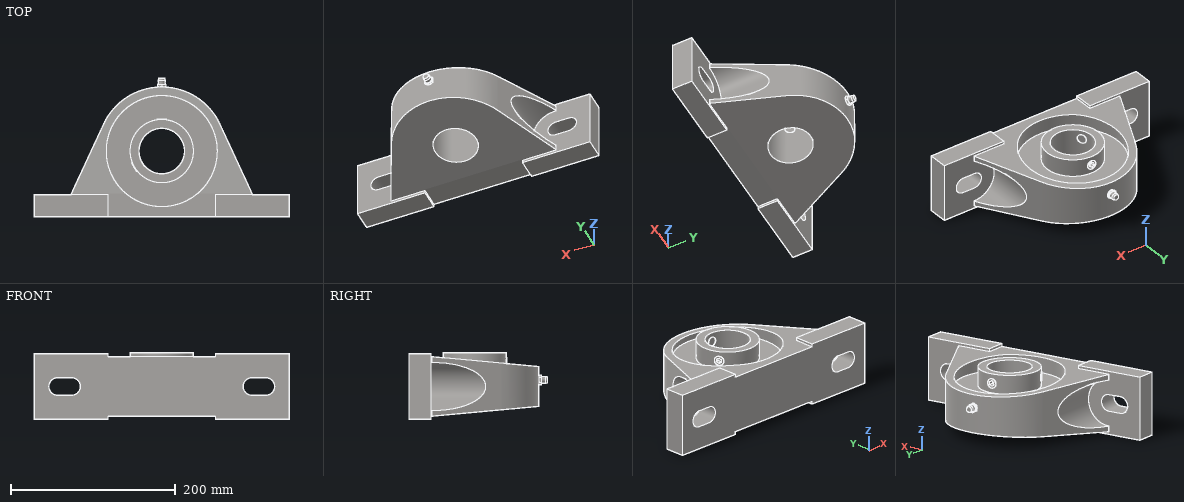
import math

import cadquery as cq


foot_length = 310.0
foot_width = 80.0
foot_thickness = 27.0
shaft_height = 80.0
waist_length = 130.0
waist_width = 72.6
slot_length = 38.0
slot_width = 21.0
slot_offset = 118.0

housing_radius = 78.0
housing_crown_width = 48.6
housing_base_half_length = 110.0
neck_height = 1.0
bolt_relief_radius = 29.2
bolt_relief_offset = 109.0

recess_diameter = 135.0
recess_floor_z = 17.0
collar_diameter = 77.0
collar_top_z = 41.0
bore_diameter = 55.0

screw_diameter = 12.0
screw_socket_across_flats = 6.0
screw_socket_depth = 6.0
screw_protrusion = 0.5
screw_end_setback = 0.2
screw_z = 29.0
screw_angles = (90.0, 210.0)

nipple_z = 8.0
nipple_embed = 3.0
nipple_hex_diameter = 12.0
nipple_hex_height = 3.0
nipple_hex_chamfer_angle = 30.0
nipple_stem_height = 2.8
nipple_neck_height = 1.9
nipple_head_height = 2.8
nipple_shoulder_radius = 4.4
nipple_neck_radius = 4.2
nipple_tip_diameter = 7.38

foot_bottom_y = -shaft_height
foot_top_y = foot_bottom_y + foot_thickness
neck_top_y = foot_top_y + neck_height

flats_per_corners = math.cos(math.pi / 6)


def along_y(y, x=0.0, z=0.0):
    """Workplane at height y whose normal points to +Y, with local x along X."""
    return cq.Workplane(cq.Plane(origin=(x, y, z), xDir=(1, 0, 0), normal=(0, 1, 0)))


def make_hexagon(y, z, corner_diameter, height):
    """Hexagonal prism standing along +Y with two corners on the Z direction."""
    return (
        along_y(y, z=z)
        .transformed(rotate=(0, 0, 90))
        .polygon(6, corner_diameter)
        .extrude(height)
    )


def make_foot():
    end_length = (foot_length - waist_length) / 2
    foot = along_y(foot_bottom_y).rect(waist_length, waist_width).extrude(foot_thickness)
    for side in (-1, 1):
        end_x = side * (foot_length - end_length) / 2
        end = along_y(foot_bottom_y, x=end_x).rect(end_length, foot_width).extrude(foot_thickness)
        slot = along_y(foot_bottom_y, x=side * slot_offset).slot2D(slot_length, slot_width)
        foot = foot.union(end).cut(slot.extrude(foot_thickness))
    return foot


def make_housing():
    """Arch with tangent flanks, narrowing from the foot towards the crown."""
    corner_distance = math.hypot(housing_base_half_length, neck_top_y)
    corner_angle = math.atan2(neck_top_y, housing_base_half_length)
    tangent_angle = corner_angle + math.acos(housing_radius / corner_distance)
    tangent_x = housing_radius * math.cos(tangent_angle)
    tangent_y = housing_radius * math.sin(tangent_angle)
    arch = (
        cq.Workplane("XY")
        .moveTo(-housing_base_half_length, foot_top_y)
        .lineTo(housing_base_half_length, foot_top_y)
        .lineTo(housing_base_half_length, neck_top_y)
        .lineTo(tangent_x, tangent_y)
        .threePointArc((0, housing_radius), (-tangent_x, tangent_y))
        .lineTo(-housing_base_half_length, neck_top_y)
        .close()
        .extrude(waist_width / 2, both=True)
    )
    base_z = waist_width / 2
    crown_z = housing_crown_width / 2
    taper = (
        cq.Workplane("YZ")
        .polyline([
            (foot_top_y, -base_z),
            (neck_top_y, -base_z),
            (housing_radius, -crown_z),
            (housing_radius, crown_z),
            (neck_top_y, base_z),
            (foot_top_y, base_z),
        ])
        .close()
        .extrude(housing_base_half_length, both=True)
    )
    housing = arch.intersect(taper)
    for side in (-1, 1):
        relief = along_y(foot_top_y, x=side * bolt_relief_offset).circle(bolt_relief_radius)
        housing = housing.cut(relief.extrude(housing_radius - foot_top_y))
    return housing


def make_recess():
    depth = waist_width / 2 - recess_floor_z
    return (
        cq.Workplane("XY", origin=(0, 0, recess_floor_z))
        .circle(recess_diameter / 2)
        .extrude(depth)
    )


def make_collar():
    return cq.Workplane("XY").circle(collar_diameter / 2).extrude(collar_top_z)


def make_bore():
    bottom_z = -waist_width / 2
    return (
        cq.Workplane("XY", origin=(0, 0, bottom_z))
        .circle(bore_diameter / 2)
        .extrude(collar_top_z - bottom_z)
    )


def make_set_screw(angle):
    """Screw in its hole, standing proud of the collar and ending just short of the bore."""
    inner = bore_diameter / 2 + screw_end_setback
    outer = collar_diameter / 2 + screw_protrusion
    screw = along_y(inner, z=screw_z).circle(screw_diameter / 2).extrude(outer - inner)
    socket = make_hexagon(
        outer - screw_socket_depth, screw_z, screw_socket_across_flats / flats_per_corners, screw_socket_depth
    )
    screw = screw.cut(socket)
    return screw.rotate((0, 0, 0), (0, 0, 1), angle - 90)


def make_screw_hole(angle):
    hole = along_y(0, z=screw_z).circle(screw_diameter / 2).extrude(collar_diameter / 2)
    return hole.rotate((0, 0, 0), (0, 0, 1), angle - 90)


def revolve_nipple(profile):
    """Solid of revolution about the nipple axis from (radius, y) points."""
    return (
        cq.Workplane("XY", origin=(0, 0, nipple_z))
        .polyline(profile)
        .close()
        .revolve(360, (0, 0, 0), (0, 1, 0))
    )


def make_nipple():
    """Hexagon chamfered underneath, carrying a turned stem, neck and head."""
    root_y = housing_radius - nipple_embed
    hex_top_y = housing_radius + nipple_hex_height
    stem_top_y = hex_top_y + nipple_stem_height
    nipple_neck_top_y = stem_top_y + nipple_neck_height
    tip_y = nipple_neck_top_y + nipple_head_height
    corner_radius = nipple_hex_diameter / 2
    flat_radius = corner_radius * flats_per_corners
    chamfer_height = (corner_radius - flat_radius) * math.tan(math.radians(nipple_hex_chamfer_angle))
    hexagon = make_hexagon(housing_radius, nipple_z, nipple_hex_diameter, nipple_hex_height)
    chamfer_envelope = revolve_nipple([
        (0, housing_radius),
        (flat_radius, housing_radius),
        (corner_radius, housing_radius + chamfer_height),
        (corner_radius, hex_top_y),
        (0, hex_top_y),
    ])
    turned = revolve_nipple([
        (0, root_y),
        (nipple_shoulder_radius, root_y),
        (nipple_shoulder_radius, hex_top_y),
        (nipple_neck_radius, stem_top_y),
        (nipple_shoulder_radius, nipple_neck_top_y),
        (nipple_tip_diameter / 2, tip_y),
        (0, tip_y),
    ])
    return hexagon.intersect(chamfer_envelope).union(turned)


result = make_foot().union(make_housing()).cut(make_recess()).union(make_collar()).cut(make_bore())
for screw_angle in screw_angles:
    result = result.cut(make_screw_hole(screw_angle)).union(make_set_screw(screw_angle))
result = result.union(make_nipple())